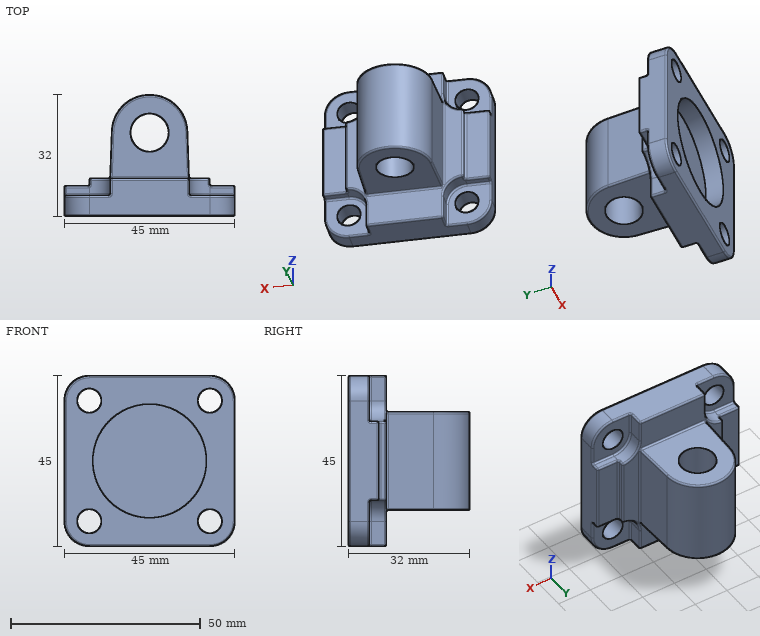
import cadquery as cq
import math

PLATE_SIZE = 45.0
HOLE_OFFSET = 15.9
HOLE_DIAMETER = 6.3
CORNER_RADIUS = PLATE_SIZE / 2 - HOLE_OFFSET

PLATE_HEIGHT = 10.0
SIDE_HEIGHT = 8.0
BAND_WIDTH = 31.7
SEAT_HEIGHT = 5.5
SEAT_RADIUS = 5.5

RECESS_DIAMETER = 30.0
RECESS_DEPTH = 5.0

LUG_RADIUS = 10.0
LUG_WIDTH = 26.0
LUG_AXIS_HEIGHT = 22.0
LUG_ROOT_HEIGHT = 7.5
LUG_TAPER = 2.0
LUG_HOLE_DIAMETER = 10.0

EDGE_RADIUS = 0.5
SELECTION_MARGIN = 0.1


def block(size_x, y_start, y_end, size_z):
    """Box centred on X = Z = 0 that spans the given Y range."""
    length = y_end - y_start
    return cq.Workplane("XY").box(size_x, length, size_z).translate((0, y_start + length / 2, 0))


def cylinder_along_y(x, z, diameter, y_start, y_end):
    axis_start = cq.Vector(x, y_start, z)
    return cq.Workplane(
        cq.Solid.makeCylinder(diameter / 2, y_end - y_start, axis_start, cq.Vector(0, 1, 0))
    )


def corner_positions():
    return [(sx * HOLE_OFFSET, sz * HOLE_OFFSET) for sx in (-1, 1) for sz in (-1, 1)]


def make_plate():
    """Square flange with lowered sides and four corner seats, all edges rounded."""
    plate = block(PLATE_SIZE, 0, SIDE_HEIGHT, PLATE_SIZE)
    plate = plate.union(block(BAND_WIDTH, 0, PLATE_HEIGHT, PLATE_SIZE))
    step_feet = plate.edges(
        cq.selectors.BoxSelector(
            (-BAND_WIDTH / 2 - SELECTION_MARGIN, SIDE_HEIGHT - SELECTION_MARGIN, -SELECTION_MARGIN),
            (BAND_WIDTH / 2 + SELECTION_MARGIN, SIDE_HEIGHT + SELECTION_MARGIN, SELECTION_MARGIN),
        )
    )
    outline = block(PLATE_SIZE, 0, PLATE_HEIGHT, PLATE_SIZE).edges("|Y").fillet(CORNER_RADIUS)
    plate = step_feet.fillet(EDGE_RADIUS).intersect(outline)
    for x, z in corner_positions():
        plate = plate.cut(make_seat_cutter(x, z))
    return plate.edges().fillet(EDGE_RADIUS)


def make_seat_cutter(x, z):
    """Square cutter, open to the plate corner, with one rounded inner corner."""
    reach = PLATE_SIZE / 2
    inner_x = math.copysign(HOLE_OFFSET - SEAT_RADIUS, x)
    inner_z = math.copysign(HOLE_OFFSET - SEAT_RADIUS, z)
    centre_x = inner_x + math.copysign(reach / 2, x)
    centre_z = inner_z + math.copysign(reach / 2, z)
    cutter = block(reach, SEAT_HEIGHT, 2 * PLATE_HEIGHT, reach).edges("|Y").fillet(SEAT_RADIUS)
    return cutter.translate((centre_x, 0, centre_z))


def make_lug():
    """Tapered lug whose flanks run tangent into a round nose, with rounded end rims."""
    taper = math.radians(LUG_TAPER)
    tangent_x = LUG_RADIUS * math.cos(taper)
    tangent_y = LUG_AXIS_HEIGHT + LUG_RADIUS * math.sin(taper)
    root_x = tangent_x + (tangent_y - LUG_ROOT_HEIGHT) * math.tan(taper)
    lug = (
        cq.Workplane("XY")
        .moveTo(-root_x, LUG_ROOT_HEIGHT)
        .lineTo(root_x, LUG_ROOT_HEIGHT)
        .lineTo(tangent_x, tangent_y)
        .threePointArc((0, LUG_AXIS_HEIGHT + LUG_RADIUS), (-tangent_x, tangent_y))
        .close()
        .extrude(LUG_WIDTH / 2, both=True)
    )
    return lug.faces("<Z or >Z").edges("not <Y").fillet(EDGE_RADIUS)


def join_with_root_fillet(plate, lug):
    """Join the lug to the plate and round the inside corner all around its root."""
    body = plate.union(lug)
    reach_x = LUG_RADIUS + 2 * EDGE_RADIUS
    reach_z = LUG_WIDTH / 2 + EDGE_RADIUS
    root_zone = cq.selectors.BoxSelector(
        (-reach_x, PLATE_HEIGHT - SELECTION_MARGIN, -reach_z),
        (reach_x, PLATE_HEIGHT + SELECTION_MARGIN, reach_z),
        boundingbox=True,
    )
    return body.edges(root_zone).fillet(EDGE_RADIUS)


def cut_openings(body):
    body = body.cut(cylinder_along_y(0, 0, RECESS_DIAMETER, 0, RECESS_DEPTH))
    for x, z in corner_positions():
        body = body.cut(cylinder_along_y(x, z, HOLE_DIAMETER, 0, PLATE_HEIGHT))
    lug_hole = (
        cq.Workplane("XY")
        .center(0, LUG_AXIS_HEIGHT)
        .circle(LUG_HOLE_DIAMETER / 2)
        .extrude(LUG_WIDTH, both=True)
    )
    return body.cut(lug_hole)


plate = make_plate()
lug = make_lug()
result = cut_openings(join_with_root_fillet(plate, lug))